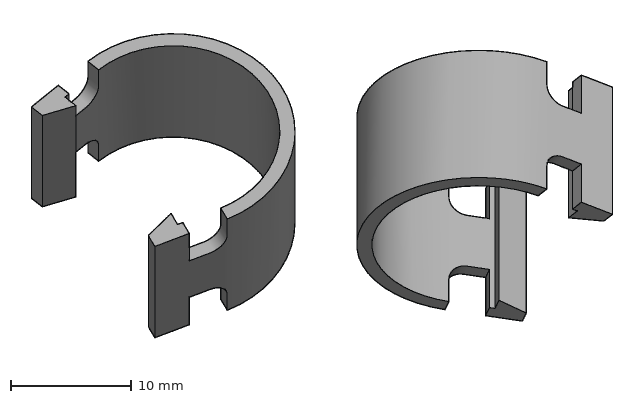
import cadquery as cq
import math

outer_radius = 10.16
wall = 1.27
width = 12.7
arm_angle = 10.0
arm_length = 6.474
head_length = 3.175
barb_length = 2.70
barb_depth = 1.27
neck_width = 5.08
notch_length = 3.49
notch_radius = 1.5875

inner_radius = outer_radius - wall
lean = math.radians(arm_angle)
shoulder = arm_length - barb_length
head_start = arm_length - head_length
notch_start = head_start - notch_length
half_width = width / 2
half_neck = neck_width / 2


def arc_end(radius, side):
    """Point where a ring arc ends and the arm begins (side is -1 or 1)."""
    return (side * radius * math.cos(lean), -radius * math.sin(lean))


def make_ring():
    """Open ring, centred on the Z axis and on the XY plane."""
    return (
        cq.Workplane("XY", origin=(0, 0, -half_width))
        .moveTo(*arc_end(outer_radius, -1))
        .threePointArc((0, outer_radius), arc_end(outer_radius, 1))
        .lineTo(*arc_end(inner_radius, 1))
        .threePointArc((0, inner_radius), arc_end(inner_radius, -1))
        .close()
        .extrude(width)
    )


def make_arm():
    """Left arm, tangent to the ring, with an inward barb at its tip."""
    start_x, start_y = arc_end(outer_radius, -1)
    inward = (math.cos(lean), math.sin(lean), 0)
    base = cq.Plane(origin=(start_x, start_y, -half_width), xDir=inward, normal=(0, 0, 1))
    profile = [
        (0, 0),
        (0, -arm_length),
        (wall, -arm_length),
        (wall + barb_depth, -shoulder),
        (wall, -shoulder),
        (wall, 0),
    ]
    return cq.Workplane(base).polyline(profile).close().extrude(width)


def make_upper_notch():
    """Cutter for the notch above the left neck, rounded at its ring-side corner."""
    start_x, start_y = arc_end(outer_radius, -1)
    along_arm = (math.sin(lean), -math.cos(lean), 0)
    outward = (-math.cos(lean), -math.sin(lean), 0)
    side_face = cq.Plane(origin=(start_x, start_y, 0), xDir=along_arm, normal=outward)
    cutter_reach = 2 * wall
    tangent_start = (notch_start, half_neck + notch_radius)
    tangent_end = (notch_start + notch_radius, half_neck)
    return (
        cq.Workplane(side_face)
        .moveTo(notch_start, half_width)
        .lineTo(*tangent_start)
        .radiusArc(tangent_end, -notch_radius)
        .lineTo(head_start, half_neck)
        .lineTo(head_start, half_width)
        .close()
        .extrude(cutter_reach, both=True)
    )


left_arm = make_arm()
upper_notch = make_upper_notch()
lower_notch = upper_notch.mirror("XY")

result = make_ring().union(left_arm).union(left_arm.mirror("YZ"))
for notch in (upper_notch, lower_notch):
    result = result.cut(notch).cut(notch.mirror("YZ"))